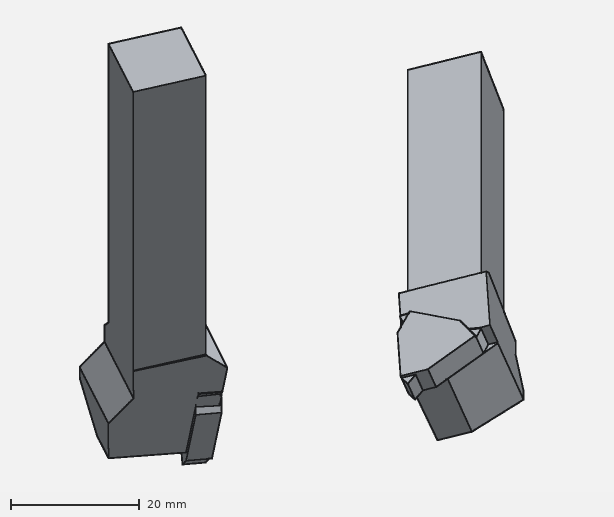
import cadquery as cq
import math

total_height = 80.3
shank_side = 12.0
shank_x = 1.9
shank_y = 4.1

head_top = 22.5
shoulder_height = 2.2
head_depth = 19.6
back_corner_z = 18.9
front_bevel_top = 16.9
front_bevel_bottom = 12.8
head_width_front = 14.05
head_width_back = 14.3
back_lead = 0.2

tilt = 10.0
sin_tilt = math.sin(math.radians(tilt))
cos_tilt = math.cos(math.radians(tilt))
back_depth = head_depth * cos_tilt - back_corner_z * sin_tilt
bottom_rise = 5.5
slope_start_x = 8.4
slope_angle = 30.0
margin = 32.1

insert_floor = 11.9
insert_face = 16.2
tooth_face = 15.75
insert_right = 14.85
insert_radius = 4.9
flat_rise = 4.3
tooth_left_x = 12.5
tooth_tip = (13.9, tooth_face * sin_tilt / cos_tilt)

sin_slope = math.sin(math.radians(slope_angle))
cos_slope = math.cos(math.radians(slope_angle))
tan_slope = sin_slope / cos_slope
flat_start_x = slope_start_x + (bottom_rise - flat_rise) / tan_slope
centre_x = insert_right - insert_radius
slope_line = flat_start_x * sin_slope + flat_rise * cos_slope
centre_rise = (slope_line + insert_radius - centre_x * sin_slope) / cos_slope
insert_centre = (centre_x, centre_rise)


def extrude_in_depth(points, start, end):
    """Extrude an (x, rise) outline between two depths of the tilted frame."""
    solid = cq.Workplane("XZ", origin=(0, start, 0)).polyline(points).close().extrude(start - end)
    return solid.rotate((0, 0, 0), (1, 0, 0), -tilt)


def turn(point, degrees):
    """Turn an (x, rise) point about the insert centre."""
    dx = point[0] - insert_centre[0]
    dr = point[1] - insert_centre[1]
    c = math.cos(math.radians(degrees))
    s = math.sin(math.radians(degrees))
    return (insert_centre[0] + c * dx - s * dr, insert_centre[1] + s * dx + c * dr)


corner = [
    (insert_right, flat_rise),
    tooth_tip,
    (tooth_left_x, flat_rise),
    (flat_start_x, flat_rise),
]
corner_turns = [0, -120, -240]
insert_outline = [turn(point, angle) for angle in corner_turns for point in corner]


def make_head():
    back_foot_y = head_depth - back_corner_z * sin_tilt / cos_tilt
    side = [
        (shank_y, head_top),
        (shank_y + shank_side, head_top),
        (head_depth, back_corner_z),
        (back_foot_y, 0),
        (0, 0),
        (0, front_bevel_bottom),
        (shank_y, front_bevel_top),
    ]
    head = cq.Workplane("YZ").polyline(side).close().extrude(head_width_back)

    shoulder = [(0, head_top - shoulder_height), (shank_x, head_top), (0, head_top)]
    head = head.cut(cq.Workplane("XZ").polyline(shoulder).close().extrude(-margin))

    flare = (head_width_back - head_width_front) / back_depth
    plan = [
        (0, -margin),
        (head_width_front - flare * margin, -margin),
        (head_width_back, back_depth - back_lead),
        (0, back_depth),
    ]
    envelope = cq.Workplane("XY").polyline(plan).close().extrude(margin)
    head = head.intersect(envelope.rotate((0, 0, 0), (1, 0, 0), -tilt))

    underside = [
        (0, bottom_rise + slope_start_x * tan_slope),
        (slope_start_x, bottom_rise),
        (margin, bottom_rise),
        (margin, margin),
        (0, margin),
    ]
    return head.intersect(extrude_in_depth(underside, -margin, margin))


def make_pocket():
    pocket = extrude_in_depth(insert_outline, insert_floor, margin)
    left_tip = turn(tooth_tip, -120)
    left_end = turn(corner[0], -120)
    clearance = [
        (-margin, left_tip[1]),
        left_tip,
        left_end,
        (left_end[0], -margin),
        (-margin, -margin),
    ]
    return pocket.union(extrude_in_depth(clearance, insert_floor, margin))


def make_holder():
    shank = cq.Workplane("XY").box(
        shank_side, shank_side, total_height - head_top, centered=False
    ).translate((shank_x, shank_y, head_top))
    return shank.union(make_head()).cut(make_pocket())


def make_insert():
    insert = extrude_in_depth(insert_outline, insert_floor, insert_face)
    for angle in corner_turns:
        tooth = [turn(point, angle) for point in corner[:3]]
        insert = insert.cut(extrude_in_depth(tooth, tooth_face, insert_face))
    return insert


holder = make_holder()
insert = make_insert()
result = cq.Compound.makeCompound([holder.val(), insert.val()])